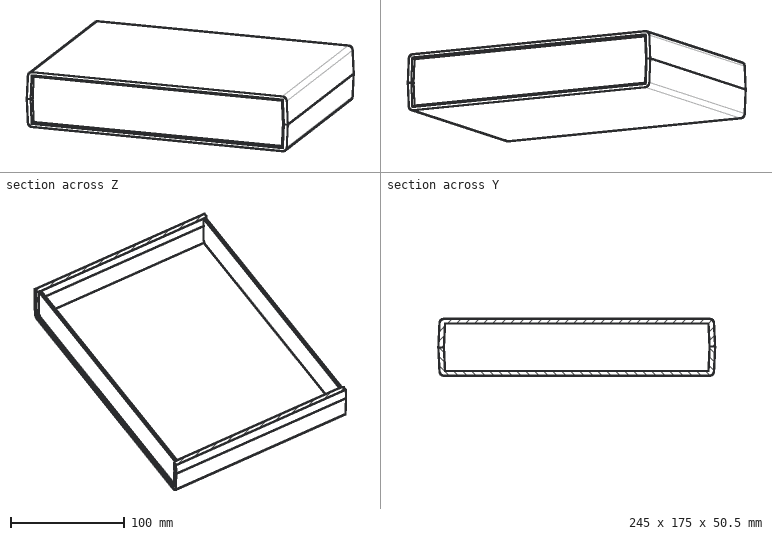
import cadquery as cq

WIDTH = 245.0
LENGTH = 175.0
HEIGHT = 50.5

WALL = 3.0
SIDE_WALL = 3.7
OUTER_LEAN = 1.2
INNER_LEAN = 1.0
CORNER_RADIUS = 4.2
SEAM_SHIFT = 0.2

RIM_CHAMFER = 1.5
PANEL_THICKNESS = 2.5

HALF_WIDTH = WIDTH / 2
HALF_LENGTH = LENGTH / 2
HALF_HEIGHT = HEIGHT / 2
RIM_HALF_WIDTH = HALF_WIDTH - SIDE_WALL
RIM_HALF_HEIGHT = HALF_HEIGHT - WALL
PANEL_FACE = HALF_LENGTH - RIM_CHAMFER
PANEL_BACK = PANEL_FACE - PANEL_THICKNESS


def section(half_width, half_height, lean, y):
    """Closed cross-section at y whose sides lean inward from mid height to the corners."""
    corner_x = half_width - lean
    points = [
        (half_width, 0),
        (corner_x, half_height),
        (-corner_x, half_height),
        (-half_width, 0),
        (-corner_x, -half_height),
        (corner_x, -half_height),
    ]
    plane = cq.Plane(origin=(0, y, 0), xDir=(1, 0, 0), normal=(0, -1, 0))
    return cq.Workplane(plane).polyline(points).close()


def inner_section(inset, y):
    """Section of the opening at y, moved inward from the rim of the shells by inset."""
    return section(RIM_HALF_WIDTH - inset, RIM_HALF_HEIGHT - inset, INNER_LEAN, y)


def make_outer_form():
    """Solid outer form of the two closed shells, with rounded long edges."""
    block = section(HALF_WIDTH, HALF_HEIGHT, OUTER_LEAN, HALF_LENGTH).extrude(LENGTH)
    corner_edges = block.edges("|Y").filter(lambda edge: abs(edge.Center().z) > RIM_HALF_HEIGHT)
    return corner_edges.fillet(CORNER_RADIUS)


def make_rim_chamfer():
    """Tapered mouth at the -Y end, narrowing from the rim to the panel face."""
    rim = inner_section(0, -HALF_LENGTH).val()
    throat = inner_section(RIM_CHAMFER, -PANEL_FACE).val()
    return cq.Workplane(cq.Solid.makeLoft([rim, throat], True))


def make_case():
    """Both shells together: a tube through the full length with chamfered mouths."""
    bore = inner_section(RIM_CHAMFER, HALF_LENGTH).extrude(LENGTH)
    front_mouth = make_rim_chamfer()
    rear_mouth = front_mouth.mirror("XZ")
    return make_outer_form().cut(bore).cut(front_mouth).cut(rear_mouth)


def make_upper_half_space():
    """Block holding everything above the seam, which is higher at -X than at +X."""
    upper = cq.Workplane().box(WIDTH, LENGTH, HEIGHT, centered=(True, True, False))
    step = cq.Workplane().box(HALF_WIDTH, LENGTH, SEAM_SHIFT, centered=(False, True, False))
    step_up = step.translate((-HALF_WIDTH, 0, 0))
    step_down = step.translate((0, 0, -SEAM_SHIFT))
    return upper.cut(step_up).union(step_down)


def make_panel(rear_y):
    """Flat end panel filling the bore, with its +Y face at rear_y."""
    return inner_section(RIM_CHAMFER, rear_y).extrude(PANEL_THICKNESS)


case = make_case()
upper_half_space = make_upper_half_space()
upper_shell = case.intersect(upper_half_space)
lower_shell = case.cut(upper_half_space)

end_panels = [make_panel(rear_y) for rear_y in (-PANEL_BACK, PANEL_FACE)]

result = cq.Compound.makeCompound(
    [upper_shell.val(), lower_shell.val()] + [panel.val() for panel in end_panels]
)